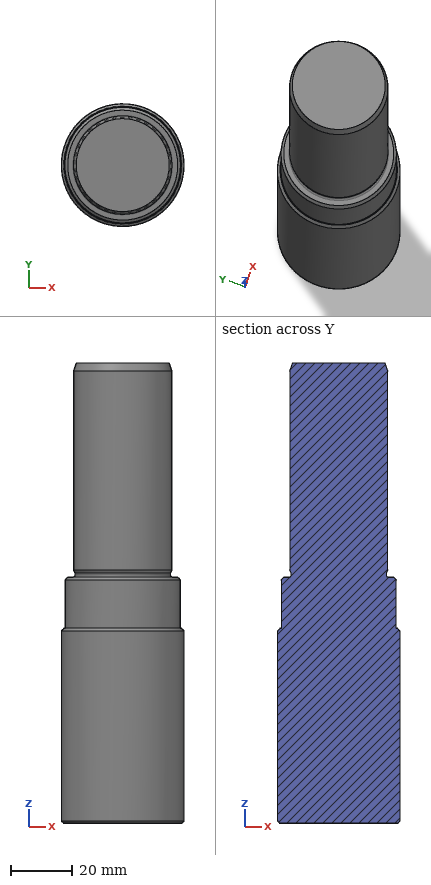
import cadquery as cq

total_length = 149.8
body_diameter = 40.0
collar_diameter = 37.6
shank_diameter = 32.0

body_top = 63.5
collar_top = 80.1

bottom_chamfer = 0.7
body_chamfer = 0.9
collar_chamfer = 0.9
tip_chamfer_height = 2.5
tip_chamfer_inset = 0.9

groove_depth = 0.5
groove_top = 82.4
groove_taper_height = 0.9
groove_fillet = 0.6

body_radius = body_diameter / 2
collar_radius = collar_diameter / 2
shank_radius = shank_diameter / 2
groove_radius = shank_radius - groove_depth


def stepped_cylinder():
    """Body and collar, each with chamfered edges."""
    body = cq.Workplane("XY").circle(body_radius).extrude(body_top)
    body = body.faces("<Z").chamfer(bottom_chamfer)
    body = body.faces(">Z").chamfer(body_chamfer)
    collar = (
        cq.Workplane("XY")
        .workplane(offset=body_top)
        .circle(collar_radius)
        .extrude(collar_top - body_top)
        .faces(">Z")
        .chamfer(collar_chamfer)
    )
    return body.union(collar)


def shank():
    """Shank with a filleted relief groove at its foot and a tapered tip."""
    return (
        cq.Workplane("XZ")
        .moveTo(0, collar_top)
        .lineTo(groove_radius + groove_fillet, collar_top)
        .radiusArc((groove_radius, collar_top + groove_fillet), groove_fillet)
        .lineTo(groove_radius, groove_top - groove_taper_height)
        .lineTo(shank_radius, groove_top)
        .lineTo(shank_radius, total_length - tip_chamfer_height)
        .lineTo(shank_radius - tip_chamfer_inset, total_length)
        .lineTo(0, total_length)
        .close()
        .revolve(360, (0, 0, 0), (0, 1, 0))
    )


result = stepped_cylinder().union(shank())